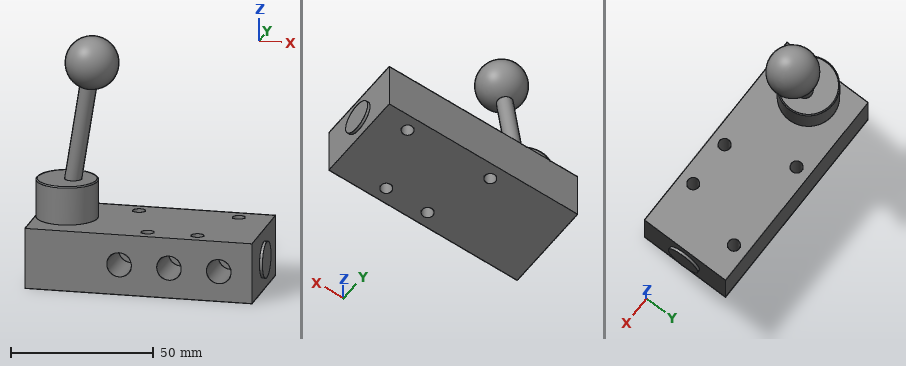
import cadquery as cq
import math

body_length = 81.9
body_width = 36.0
body_height = 22.0

cap_diameter = 13.1
cap_thickness = 1.1
cap_z = body_height / 2

housing_diameter = 22.0
housing_height = 14.0
housing_chamfer = 0.4
housing_x = housing_diameter / 2
housing_top = body_height + housing_height

overall_height = 88.4
knob_diameter = 19.0
lever_diameter = 6.0
lever_tilt = 9
lever_embed = 1.8
knob_z = overall_height - knob_diameter / 2
lever_pivot_x = 13.2

port_diameter = 8.8
port_depth = body_width / 2
port_pitch = body_width / 2
port_count = 3
middle_port_x = 52.0

mount_diameter = 4.5
mount_edge_distance = 5.5


def make_body():
    body = cq.Workplane("XY").box(body_length, body_width, body_height, centered=(False, True, False))
    cap = (
        cq.Workplane("YZ", origin=(body_length, 0, cap_z))
        .circle(cap_diameter / 2)
        .extrude(cap_thickness)
    )
    return body.union(cap)


def make_housing():
    return (
        cq.Workplane("XY", origin=(housing_x, 0, body_height))
        .circle(housing_diameter / 2)
        .extrude(housing_height)
        .faces(">Z")
        .chamfer(housing_chamfer)
    )


def make_lever():
    tilt = math.radians(lever_tilt)
    foot_z = housing_top - lever_embed
    foot_x = lever_pivot_x - lever_embed * math.tan(tilt)
    length = (knob_z - foot_z) / math.cos(tilt)
    knob_x = foot_x + length * math.sin(tilt)
    axis = cq.Vector(math.sin(tilt), 0, math.cos(tilt))
    rod = cq.Solid.makeCylinder(lever_diameter / 2, length, cq.Vector(foot_x, 0, foot_z), axis)
    knob = cq.Workplane("XY", origin=(knob_x, 0, knob_z)).sphere(knob_diameter / 2)
    return knob.union(cq.Workplane(rod))


def make_ports():
    return (
        cq.Workplane("XZ", origin=(middle_port_x, -body_width / 2, body_height / 2))
        .rarray(port_pitch, 0.9, port_count, 1)
        .circle(port_diameter / 2)
        .extrude(-port_depth)
    )


def make_mounting_holes():
    row_y = body_width / 2 - mount_edge_distance
    centres = []
    for side in (-1, 1):
        centres.append((middle_port_x + side * port_pitch, row_y))
        centres.append((middle_port_x + side * port_pitch / 2, -row_y))
    return cq.Workplane("XY").pushPoints(centres).circle(mount_diameter / 2).extrude(body_height)


result = (
    make_body()
    .union(make_housing())
    .union(make_lever())
    .cut(make_ports())
    .cut(make_mounting_holes())
)